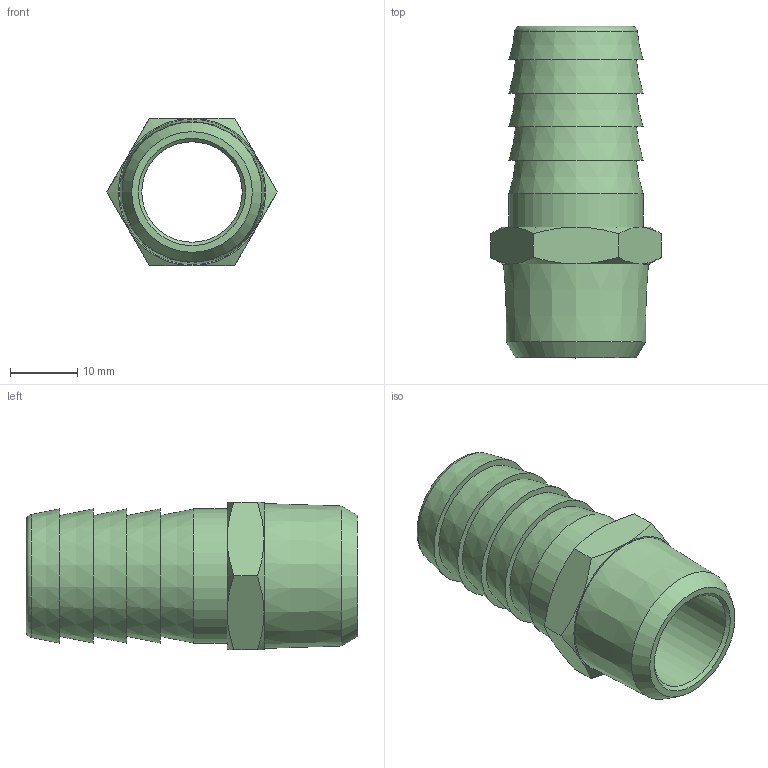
import cadquery as cq
import math

BARB_PITCH = 5.0
SHARP_BARB_COUNT = 4
COLLAR_LENGTH = 5.0
HEX_LENGTH = 5.5
THREAD_LENGTH = 14.0

TIP_RADIUS = 10.0
ROOT_RADIUS = 9.0
NOSE_FILLET = 1.0

HEX_SIDES = 6
ACROSS_FLATS = 22.0
HEX_CHAMFER_ANGLE = math.radians(30)

THREAD_RADIUS = 10.8
THREAD_TAPER = 1 / 32
THREAD_CHAMFER_LENGTH = 2.4
THREAD_END_RADIUS = 9.0

BORE_RADIUS = 7.5
BORE_CHAMFER = 0.5

THREAD_END = -THREAD_LENGTH
HEX_TOP = HEX_LENGTH
BARBS_START = HEX_TOP + COLLAR_LENGTH
TAIL_END = BARBS_START + (SHARP_BARB_COUNT + 1) * BARB_PITCH


def revolve_profile(points):
    """Revolve a closed outline of (radius, y) points about the Y axis."""
    outline = [(y, radius) for radius, y in points]
    return cq.Workplane("YZ").polyline(outline).close().revolve(360, (0, 0, 0), (1, 0, 0))


def hose_tail():
    """Plain collar followed by tapering barbs, with a rounded nose."""
    points = [(0, 0), (TIP_RADIUS, 0)]
    for barb in range(SHARP_BARB_COUNT + 1):
        widest = BARBS_START + barb * BARB_PITCH
        points.append((TIP_RADIUS, widest))
        points.append((ROOT_RADIUS, widest + BARB_PITCH))
    points.append((0, TAIL_END))
    return revolve_profile(points).faces(">Y").edges().fillet(NOSE_FILLET)


def hexagon():
    """Wrench hexagon with its corners turned down at both ends."""
    flat_radius = ACROSS_FLATS / 2
    corner_radius = flat_radius / math.cos(math.pi / HEX_SIDES)
    corner_drop = (corner_radius - flat_radius) * math.tan(HEX_CHAMFER_ANGLE)
    prism = (
        cq.Workplane("XZ")
        .polygon(HEX_SIDES, 2 * corner_radius)
        .extrude(-HEX_LENGTH)
    )
    turned_envelope = revolve_profile([
        (0, 0),
        (flat_radius, 0),
        (corner_radius, corner_drop),
        (corner_radius, HEX_TOP - corner_drop),
        (flat_radius, HEX_TOP),
        (0, HEX_TOP),
    ])
    return prism.intersect(turned_envelope)


def threaded_end():
    """Tapered thread envelope with a lead-in chamfer."""
    taper_length = THREAD_LENGTH - THREAD_CHAMFER_LENGTH
    small_radius = THREAD_RADIUS - taper_length * THREAD_TAPER
    return revolve_profile([
        (0, 0),
        (THREAD_RADIUS, 0),
        (small_radius, -taper_length),
        (THREAD_END_RADIUS, THREAD_END),
        (0, THREAD_END),
    ])


def bore():
    """Through bore, chamfered at the threaded end."""
    return revolve_profile([
        (0, THREAD_END),
        (BORE_RADIUS + BORE_CHAMFER, THREAD_END),
        (BORE_RADIUS, THREAD_END + BORE_CHAMFER),
        (BORE_RADIUS, TAIL_END),
        (0, TAIL_END),
    ])


result = hexagon().union(hose_tail()).union(threaded_end()).cut(bore())